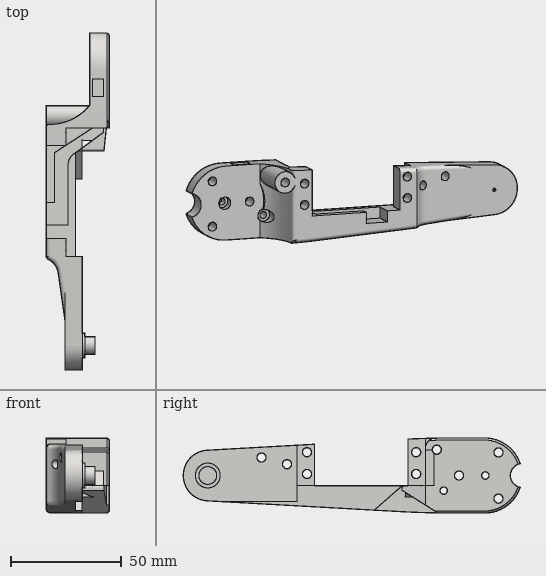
import cadquery as cq
import math


LENGTH = 151.93
WIDTH = 28.52
HEIGHT = 34.0
MID_Z = HEIGHT / 2

TIP_RADIUS = 11.47
FLANK_ANGLE = math.radians(3.2)
FLANK_BLEND_LENGTH = 13.5
PLATE_RADIUS = HEIGHT / 2
PLATE_CENTRE_Y = 135.78
PLATE_NOTCH_RADIUS = 5.4
PLATE_NOTCH_Y = 152.9
PLATE_EDGE_BEVEL = 1.0

PLATE_INNER_X = 19.6
PLATE_END_Y = 109.1
ARM_INNER_X = 8.5
ARM_OUTER_X = 16.4
ARM_STEP_Z = 5.4
ARM_SHOULDER_Y = 51.2
PAD_END_Y = 22.0
PAD_BEND = (5.3, 44.5)
PAD_BEND_MID = (4.1, 47.2)
PAD_SHOULDER = (1.5, 49.6)
PAD_SHOULDER_MID = (0.35, 50.5)
FRAME_OUTER_X = 13.3
HOLLOW_TOP_Y = 119.3
HOLLOW_MID = (11.0, 112.7)
HOLLOW_END = (1.2, 110.7)
HOLLOW_CORNER_MID = (0.35, 110.3)
PAD_EDGE_ROUND = 1.8
PAD_BURIED_DEPTH = 1.0

SILL_Z = 12.4
WINDOW_Y = (59.3, 101.3)
POST_X = 8.9

CHANNEL_FLOOR_Z = 7.3
CHANNEL_X = (3.8, 9.9)
CHANNEL_END_Y = 65.4
CHANNEL_BEND_Y = 98.0
CHANNEL_BEND_ROUND = 6.0
CHANNEL_EXIT_X = (20.9, 25.9)
CHANNEL_CORNER_Y = 107.2
CHANNEL_OUTER_BEND_Y = 95.5
CHANNEL_MOUTH_Y = (CHANNEL_END_Y, 75.5)
CHANNEL_RAMP_TOP_Z = 19.0
CHANNEL_RAMP_DEPTH = 11.0

LIP_X = 16.2
LIP_END_Y = 98.7
LIP_SIDE_X = (26.1, 27.2)
LIP_FACE_Z = 10.3
LIP_ROUND = 1.0
UNDERCUT_END_Y = 115.0
GUSSET_Y = 84.5

HUB_Y = 136.2
HUB_CLEARANCE_RADIUS = 18.6

BOSS_YZ = (114.3, 28.65)
BOSS_RADIUS = 4.95
PIN_RADIUS = 4.0
PIN_END_X = 22.1
COLLAR_RADIUS = 5.6
COLLAR_END_X = 17.5
PIN_BORE_RADIUS = 0.7
PIN_BORE_DEPTH = 2.0
PIN_Y = 11.1
SCREW_RADIUS = 2.0
PLATE_SCREW_OFFSET = 10.4
SCREW_HOLES_YZ = [
    (142.1, MID_Z + PLATE_SCREW_OFFSET),
    (142.1, MID_Z - PLATE_SCREW_OFFSET),
    (124.3, MID_Z),
    BOSS_YZ,
    (105.0, 27.5),
    (105.0, 17.7),
    (55.8, 27.5),
    (55.8, 17.7),
    (46.8, 22.1),
    (35.3, 25.1),
]
STEPPED_HOLES = [
    (HUB_Y, MID_Z, 1.6, 2.8, PLATE_INNER_X + 4.0),
    (117.4, 10.2, 1.6, 2.9, PLATE_INNER_X + 1.0),
]

SKIN_X = 27.4
SKIN_CORNER_RADIUS = 5.0
SKIN_RELIEF_DEPTH = 4.0

TOP_PANEL_X = (21.0, 25.9)
TOP_PANEL_Y = (123.4, 131.3)
PANEL_DEPTH = 0.1
GROOVE_Z = (27.6, 28.5, 29.4)
GROOVE_DEPTHS = (0.2, 0.1)

CLEAR = 5.0


def box(x, y, z):
    """Box given by its (low, high) limits on each axis."""
    size = (x[1] - x[0], y[1] - y[0], z[1] - z[0])
    return cq.Workplane("XY").box(*size, centered=False).translate((x[0], y[0], z[0]))


def rod(y, z, radius, x_start, x_end):
    """Cylinder along X."""
    plane = cq.Workplane("YZ", origin=(x_start, 0, 0))
    return plane.center(y, z).circle(radius).extrude(x_end - x_start)


def side_profile():
    """Outline in the Y-Z plane, extruded over the full width."""
    tip_y = TIP_RADIUS * (1 - math.sin(FLANK_ANGLE))
    tip_half = TIP_RADIUS * math.cos(FLANK_ANGLE)
    slope = math.tan(FLANK_ANGLE)
    corner_y = tip_y + (PLATE_RADIUS - tip_half) / slope
    blend_tip_y = corner_y - FLANK_BLEND_LENGTH
    blend_tip_half = PLATE_RADIUS - slope * FLANK_BLEND_LENGTH
    blend_plate_y = corner_y + FLANK_BLEND_LENGTH
    outline = (
        cq.Workplane("YZ")
        .moveTo(tip_y, MID_Z + tip_half)
        .lineTo(blend_tip_y, MID_Z + blend_tip_half)
        .tangentArcPoint((blend_plate_y, HEIGHT), relative=False)
        .lineTo(PLATE_CENTRE_Y, HEIGHT)
        .threePointArc((PLATE_CENTRE_Y + PLATE_RADIUS, MID_Z), (PLATE_CENTRE_Y, 0))
        .lineTo(blend_plate_y, 0)
        .tangentArcPoint((blend_tip_y, MID_Z - blend_tip_half), relative=False)
        .lineTo(tip_y, MID_Z - tip_half)
        .threePointArc((0, MID_Z), (tip_y, MID_Z + tip_half))
        .close()
        .extrude(WIDTH)
    )
    return outline.faces(">X").edges().chamfer(PLATE_EDGE_BEVEL)


def plan_profile():
    """Cranked outline in the X-Y plane without the pad, extruded over the full height."""
    return (
        cq.Workplane("XY")
        .moveTo(ARM_INNER_X, 0)
        .lineTo(ARM_INNER_X, PLATE_END_Y)
        .lineTo(0, PLATE_END_Y)
        .threePointArc(HOLLOW_CORNER_MID, HOLLOW_END)
        .threePointArc(HOLLOW_MID, (PLATE_INNER_X, HOLLOW_TOP_Y))
        .lineTo(PLATE_INNER_X, LENGTH + CLEAR)
        .lineTo(WIDTH, LENGTH + CLEAR)
        .lineTo(WIDTH, PLATE_END_Y)
        .lineTo(LIP_X, PLATE_END_Y)
        .lineTo(LIP_X, LIP_END_Y)
        .lineTo(FRAME_OUTER_X, LIP_END_Y)
        .lineTo(FRAME_OUTER_X, ARM_SHOULDER_Y)
        .lineTo(ARM_OUTER_X, ARM_SHOULDER_Y)
        .lineTo(ARM_OUTER_X, 0)
        .close()
        .extrude(HEIGHT)
    )


def pad(profile):
    """Outer layer of the frame, sloping into the arm, with rounded upper and lower edges."""
    slope = (ARM_INNER_X - PAD_BEND[0]) / (PAD_BEND[1] - PAD_END_Y)
    buried_y = PAD_END_Y - PAD_BURIED_DEPTH / slope
    outline = (
        cq.Workplane("XY")
        .moveTo(ARM_INNER_X + PAD_BURIED_DEPTH, buried_y)
        .lineTo(*PAD_BEND)
        .threePointArc(PAD_BEND_MID, PAD_SHOULDER)
        .threePointArc(PAD_SHOULDER_MID, (0, ARM_SHOULDER_Y))
        .lineTo(0, PLATE_END_Y)
        .lineTo(ARM_INNER_X + PAD_BURIED_DEPTH, PLATE_END_Y)
        .close()
        .extrude(HEIGHT)
    )
    layer = outline.intersect(profile)
    on_outer_face = cq.selectors.BoxSelector(
        (-CLEAR, buried_y, -CLEAR),
        (ARM_INNER_X, PLATE_END_Y - CLEAR, HEIGHT + CLEAR),
    )
    rims = layer.edges("not |Z").edges(on_outer_face)
    square_post = box((0, POST_X), (WINDOW_Y[1], PLATE_END_Y), (SILL_Z, HEIGHT)).intersect(profile)
    return rims.fillet(PAD_EDGE_ROUND).union(square_post)


def window():
    """Space above the sill, between the posts and along their inner side."""
    between = box((-CLEAR, WIDTH), WINDOW_Y, (SILL_Z, HEIGHT + CLEAR))
    behind = box((POST_X, WIDTH + CLEAR), (ARM_SHOULDER_Y, PLATE_END_Y), (SILL_Z, HEIGHT + CLEAR))
    return between.union(behind)


def lip():
    """Tapered shelf on the end of the plate, level with the sill."""
    shelf = (
        cq.Workplane("XY")
        .moveTo(LIP_X, LIP_END_Y)
        .lineTo(LIP_SIDE_X[0], LIP_END_Y)
        .lineTo(LIP_SIDE_X[1], PLATE_END_Y)
        .lineTo(LIP_X, PLATE_END_Y)
        .close()
        .extrude(SILL_Z)
    )
    return shelf.edges("<Y and >Z").fillet(LIP_ROUND)


def undercut():
    """Wedge removed from below the lip and the end of the plate."""
    return (
        cq.Workplane("YZ", origin=(LIP_X, 0, 0))
        .moveTo(LIP_END_Y - CLEAR, -CLEAR)
        .lineTo(LIP_END_Y - CLEAR, LIP_FACE_Z)
        .lineTo(LIP_END_Y, LIP_FACE_Z)
        .lineTo(UNDERCUT_END_Y, 0)
        .lineTo(UNDERCUT_END_Y, -CLEAR)
        .close()
        .extrude(WIDTH)
    )


def gusset():
    """Sloping web between the sill and the lip."""
    return (
        cq.Workplane("YZ", origin=(FRAME_OUTER_X, 0, 0))
        .moveTo(GUSSET_Y, 0)
        .lineTo(LIP_END_Y, SILL_Z)
        .lineTo(LIP_END_Y, 0)
        .close()
        .extrude(LIP_X - FRAME_OUTER_X)
    )


def channel():
    """Cable channel along the sill, turning toward the plate, with a mouth in the outer face."""
    height = SILL_Z - CHANNEL_FLOOR_Z
    run = (
        cq.Workplane("XY", origin=(0, 0, CHANNEL_FLOOR_Z))
        .moveTo(CHANNEL_X[0], CHANNEL_END_Y)
        .lineTo(CHANNEL_X[1], CHANNEL_END_Y)
        .lineTo(CHANNEL_X[1], CHANNEL_OUTER_BEND_Y)
        .lineTo(CHANNEL_EXIT_X[1], CHANNEL_CORNER_Y)
        .lineTo(CHANNEL_EXIT_X[1], PLATE_END_Y)
        .lineTo(CHANNEL_EXIT_X[0], PLATE_END_Y)
        .lineTo(CHANNEL_X[0], CHANNEL_BEND_Y)
        .close()
        .extrude(height)
    )
    outer_bend = cq.selectors.NearestToPointSelector(
        (CHANNEL_X[1], CHANNEL_OUTER_BEND_Y, CHANNEL_FLOOR_Z + height / 2)
    )
    run = run.edges("|Z").edges(outer_bend).fillet(CHANNEL_BEND_ROUND)
    mouth = box((-CLEAR, CHANNEL_X[1]), CHANNEL_MOUTH_Y, (CHANNEL_FLOOR_Z, SILL_Z))
    ramp = (
        cq.Workplane("YZ", origin=(CHANNEL_EXIT_X[0], 0, 0))
        .moveTo(PLATE_END_Y, CHANNEL_FLOOR_Z)
        .lineTo(PLATE_END_Y + CHANNEL_RAMP_DEPTH, CHANNEL_RAMP_TOP_Z)
        .lineTo(PLATE_END_Y, CHANNEL_RAMP_TOP_Z)
        .close()
        .extrude(CHANNEL_EXIT_X[1] - CHANNEL_EXIT_X[0])
    )
    return run.union(mouth).union(ramp)


def hub_clearance():
    """Round clearance in front of the plate, biting into the hollow beside it."""
    return rod(HUB_Y, MID_Z, HUB_CLEARANCE_RADIUS, -CLEAR, PLATE_INNER_X)


def arm_step():
    """Raised underside of the arm where it stands proud of the frame."""
    return box((FRAME_OUTER_X, WIDTH), (-CLEAR, ARM_SHOULDER_Y), (-CLEAR, ARM_STEP_Z))


def heel_bevel():
    """Bevel carrying the pad's rounded lower edge on to the hollow."""
    return (
        cq.Workplane("XZ", origin=(0, PLATE_END_Y, 0))
        .polyline([(0, 0), (PAD_EDGE_ROUND, 0), (0, PAD_EDGE_ROUND)])
        .close()
        .extrude(PLATE_END_Y - HOLLOW_TOP_Y)
    )


def skin_relief():
    """Rounded upper corner and notch below it, both cut in the plate's outer skin."""
    skin = (SKIN_X, WIDTH + CLEAR)
    centre_y = PLATE_END_Y + SKIN_CORNER_RADIUS
    centre_z = HEIGHT - SKIN_CORNER_RADIUS
    corner = box(skin, (PLATE_END_Y, centre_y), (centre_z, HEIGHT + CLEAR))
    corner = corner.cut(rod(centre_y, centre_z, SKIN_CORNER_RADIUS, *skin))
    notch = box(skin, (PLATE_END_Y, PLATE_END_Y + SKIN_RELIEF_DEPTH), (SILL_Z, GROOVE_Z[1]))
    return corner.union(notch)


def plate_marks():
    """Shallow panel on the plate's top edge and stepped groove across its end face."""
    marks = box(TOP_PANEL_X, TOP_PANEL_Y, (HEIGHT - PANEL_DEPTH, HEIGHT + CLEAR))
    for index, depth in enumerate(GROOVE_DEPTHS):
        step_z = (GROOVE_Z[index], GROOVE_Z[index + 1])
        marks = marks.union(box((POST_X, WIDTH + CLEAR), (PLATE_END_Y, PLATE_END_Y + depth), step_z))
    return marks


def holes():
    """All round holes, drilled along X."""
    drills = rod(PLATE_NOTCH_Y, MID_Z, PLATE_NOTCH_RADIUS, -CLEAR, WIDTH + CLEAR)
    drills = drills.union(rod(PIN_Y, MID_Z, PIN_BORE_RADIUS, -CLEAR, ARM_INNER_X + PIN_BORE_DEPTH))
    for y, z in SCREW_HOLES_YZ:
        drills = drills.union(rod(y, z, SCREW_RADIUS, -CLEAR, WIDTH + CLEAR))
    for y, z, bore_radius, step_radius, floor_x in STEPPED_HOLES:
        drills = drills.union(rod(y, z, bore_radius, -CLEAR, WIDTH + CLEAR))
        drills = drills.union(rod(y, z, step_radius, -CLEAR, floor_x))
    return drills


profile = side_profile()
body = profile.intersect(plan_profile()).union(pad(profile))
boss = rod(*BOSS_YZ, BOSS_RADIUS, 0, PLATE_INNER_X).intersect(profile)
body = body.cut(hub_clearance()).cut(arm_step()).cut(heel_bevel())
body = body.union(boss).cut(window())
body = body.union(lip()).cut(undercut()).union(gusset().intersect(profile))
body = body.cut(channel()).cut(plate_marks()).cut(skin_relief())
body = body.union(rod(PIN_Y, MID_Z, COLLAR_RADIUS, ARM_OUTER_X, COLLAR_END_X))
body = body.union(rod(PIN_Y, MID_Z, PIN_RADIUS, ARM_OUTER_X, PIN_END_X))
result = body.cut(holes())